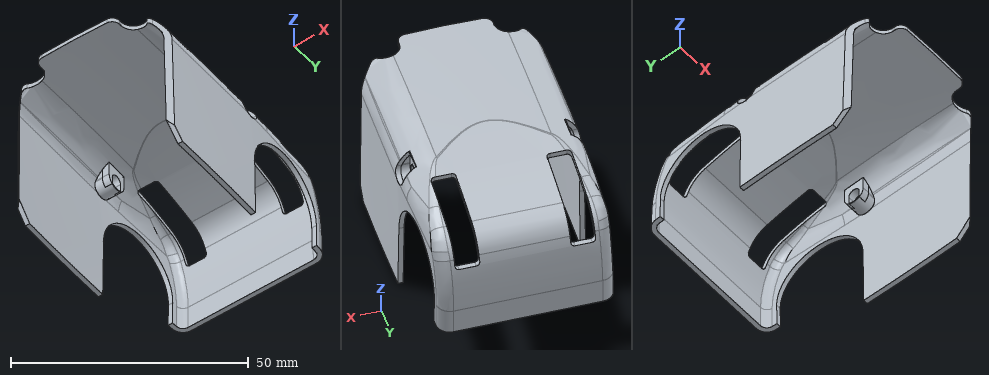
import cadquery as cq
import math

wall = 1.2
length = 63.3
far = 100.0

half_width = 20.75
side_bow_radius = 600.0
draft = 0.8
crown_y = 22.6

roof_z = 37.0
crown_radius = 407.0
roof_mid_radius = 170.0
roof_mid_half_width = 12.6
shoulder_radius = 8.4
shoulder_end_angle = 57.0
roof_side_fillet = 6.5

nose_bottom_z = 10.0
nose_straight_top_z = 16.0
nose_radius = 31.4
bend_radius = 8.4
hood_radius = 127.0
nose_slope = 1.0
bend_start_slope = 24.0
bend_end_slope = 75.1
hood_end_slope = 87.0
hood_fillet = 3.0

arch_y = 47.6
arch_z = 16.1
arch_radius = 11.5

tongue_half_width = 10.4
tongue_corner_radius = 1.9
notch_radius = 3.0
notch_y = 2.5
notch_tip_radius = 1.0
skirt_rear_y = 7.9
skirt_chamfer_y = 10.35
skirt_chamfer_angle = 46.0

slot_inner_x = 10.0
slot_outer_x = 15.4
slot_rear_y = 42.6
slot_floor_z = 26.0
slot_corner_radius = 0.8

pocket_y = 35.05
pocket_z = 31.0
pocket_radius = 2.4
pocket_top_z = 34.6
pocket_end_x = 16.95
boss_radius = 2.6
boss_end_x = 15.05
hole_radius = 1.4
hole_top_z = 32.45


def side_body(inset):
    """Solid between the two drafted, bowed skirt faces."""
    half = half_width - inset
    reach = 1.2 * length
    bow_radius = side_bow_radius - inset
    end_half = half - bow_radius + math.sqrt(bow_radius**2 - reach**2)
    return (
        cq.Workplane("XY")
        .moveTo(end_half, crown_y - reach)
        .threePointArc((half, crown_y), (end_half, crown_y + reach))
        .lineTo(-end_half, crown_y + reach)
        .threePointArc((-half, crown_y), (-end_half, crown_y - reach))
        .close()
        .extrude(2 * roof_z, taper=draft)
    )


def roof_body(inset):
    """Solid under the roof: the roof section turned about a far-off axis parallel to X."""
    mid_radius = roof_mid_radius - inset
    radius = shoulder_radius - inset
    mid_angle = math.asin(roof_mid_half_width / roof_mid_radius)
    end_angle = math.radians(shoulder_end_angle)
    mid_centre_z = roof_z - roof_mid_radius
    shoulder_x = (roof_mid_radius - shoulder_radius) * math.sin(mid_angle)
    shoulder_z = mid_centre_z + (roof_mid_radius - shoulder_radius) * math.cos(mid_angle)

    def shoulder_point(angle):
        return shoulder_x + radius * math.sin(angle), shoulder_z + radius * math.cos(angle)

    join = shoulder_point(mid_angle)
    middle = shoulder_point((mid_angle + end_angle) / 2)
    end = shoulder_point(end_angle)
    flank = 2 * shoulder_radius
    foot = (end[0] + flank * math.cos(end_angle), end[1] - flank * math.sin(end_angle))
    base_z = -roof_z
    half_turn = 20.0
    axis_z = roof_z - crown_radius

    def mirrored(point):
        return -point[0], point[1]

    section = (
        cq.Workplane("XZ", origin=(0, crown_y, 0))
        .moveTo(foot[0], base_z)
        .lineTo(*foot)
        .lineTo(*end)
        .threePointArc(middle, join)
        .threePointArc((0, mid_centre_z + mid_radius), mirrored(join))
        .threePointArc(mirrored(middle), mirrored(end))
        .lineTo(*mirrored(foot))
        .lineTo(-foot[0], base_z)
        .close()
    )
    turned = section.revolve(2 * half_turn, (0, axis_z, 0), (1, axis_z, 0))
    return turned.rotate((0, crown_y, axis_z), (1, crown_y, axis_z), -half_turn)


def hood_body(inset):
    """Solid behind and below the hood profile, running the full width."""
    slopes = [math.radians(s) for s in (nose_slope, bend_start_slope, bend_end_slope, hood_end_slope)]
    lean = math.tan(slopes[0])
    start_y = length - lean * (nose_straight_top_z - nose_bottom_z)
    start = (start_y - inset * math.cos(slopes[0]), nose_straight_top_z - inset * math.sin(slopes[0]))
    foot_z = -roof_z
    profile = (
        cq.Workplane("YZ", origin=(-far / 2, 0, 0))
        .moveTo(start[0] + lean * (start[1] - foot_z), foot_z)
        .lineTo(*start)
    )
    point = start
    for index, outer_radius in enumerate((nose_radius, bend_radius, hood_radius)):
        radius = outer_radius - inset
        first, last = slopes[index], slopes[index + 1]
        centre_y = point[0] - radius * math.cos(first)
        centre_z = point[1] - radius * math.sin(first)
        half = (first + last) / 2
        middle = (centre_y + radius * math.cos(half), centre_z + radius * math.sin(half))
        point = (centre_y + radius * math.cos(last), centre_z + radius * math.sin(last))
        profile = profile.threePointArc(middle, point)
    back_z = point[1] + (point[0] + far) / math.tan(slopes[-1])
    return profile.lineTo(-far, back_z).lineTo(-far, foot_z).close().extrude(far)


def bonnet_body(inset):
    """Filled bonnet with rounded edges, its faces moved inwards by inset."""
    body = side_body(inset).intersect(roof_body(inset))
    for side in (-1, 1):
        edge_point = (side * (half_width - inset), crown_y, pocket_z)
        edge = cq.selectors.NearestToPointSelector(edge_point)
        body = body.edges(edge).fillet(roof_side_fillet - inset)

    hood = hood_body(inset)
    body = body.intersect(hood)
    hood_skin = cq.Compound.makeCompound(hood.faces().vals())

    def bounds_hood(edge):
        middle = cq.Vertex.makeVertex(*edge.positionAt(0.5).toTuple())
        return edge.geomType() != "LINE" and hood_skin.distance(middle) < 0.01

    rim = body.edges().filter(bounds_hood)
    return body.newObject(rim.vals()).fillet(hood_fillet - inset)


def arched_prism(start_x, end_x, centre_y, centre_z, radius, end_z):
    """Prism along X: a half circle of the given radius with straight sides running on to end_z."""
    crown_z = centre_z + math.copysign(radius, centre_z - end_z)
    return (
        cq.Workplane("YZ", origin=(start_x, 0, 0))
        .moveTo(centre_y - radius, end_z)
        .lineTo(centre_y - radius, centre_z)
        .threePointArc((centre_y, crown_z), (centre_y + radius, centre_z))
        .lineTo(centre_y + radius, end_z)
        .close()
        .extrude(end_x - start_x)
    )


def wheel_arch_cut():
    """Arch opening through both skirts, and everything below the nose lip."""
    arch = arched_prism(-far, far, arch_y, arch_z, arch_radius, -far)
    front_y = arch_y - arch_radius
    below_nose = cq.Workplane("XY").box(far, far, far, centered=(True, False, False))
    return arch.union(below_nose.translate((0, front_y, nose_bottom_z - far)))


def skirt_chamfer_cut():
    """Sloping trim of the lower rear corner of both skirts."""
    rise = skirt_chamfer_y * math.tan(math.radians(skirt_chamfer_angle))
    corner = [(skirt_chamfer_y, 0), (0, rise), (0, 0)]
    return cq.Workplane("YZ", origin=(-far / 2, 0, 0)).polyline(corner).close().extrude(far)


def rear_edge_cut(side):
    """Material behind the rear edge on one side: the 45 degree skirt end and the round notch."""
    notch_x = tongue_half_width + notch_radius
    skirt_end = half_width - skirt_rear_y
    corner_y = tongue_corner_radius
    corner_shift = tongue_corner_radius * (1 - math.sqrt(0.5))

    gap = skirt_end + notch_y - notch_x
    entry = (gap + math.sqrt(2 * notch_radius**2 - gap**2)) / 2
    tip = (notch_x + entry, notch_y + entry - gap)

    outline = (
        cq.Workplane("XY")
        .moveTo(0, -far)
        .lineTo(side * far, -far)
        .lineTo(side * far, far - skirt_end)
        .lineTo(side * tip[0], tip[1])
        .threePointArc((side * notch_x, notch_y + notch_radius), (side * tongue_half_width, notch_y))
        .lineTo(side * tongue_half_width, corner_y)
        .threePointArc(
            (side * (tongue_half_width - corner_shift), corner_shift),
            (side * (tongue_half_width - tongue_corner_radius), 0),
        )
        .lineTo(0, 0)
        .close()
        .extrude(far)
    )
    tip_edge = cq.selectors.NearestToPointSelector((side * tip[0], tip[1], far / 2))
    return outline.edges(tip_edge).fillet(notch_tip_radius)


def hood_slot_cut(side):
    """Slot through the hood and the upper nose, with a level floor in the nose wall."""
    middle_x = side * (slot_inner_x + slot_outer_x) / 2
    block = cq.Workplane("XY").box(
        slot_outer_x - slot_inner_x, far, far, centered=(True, False, False)
    )
    block = block.edges("|Z and <Y").fillet(slot_corner_radius)
    block = block.edges("|Y and <Z").fillet(slot_corner_radius)
    return block.translate((middle_x, slot_rear_y, slot_floor_z))


def pocket_cut(side):
    """U-shaped recess open to the outside, and the hole through its end wall."""
    outside_x = side * 1.5 * half_width
    recess = arched_prism(
        side * pocket_end_x, outside_x, pocket_y, pocket_z, pocket_radius, pocket_top_z
    )
    hole_floor_z = pocket_z - pocket_radius
    hole = arched_prism(
        0, outside_x, pocket_y, hole_top_z - hole_radius, hole_radius, hole_floor_z
    )
    hole_limit = arched_prism(0, outside_x, pocket_y, pocket_z, pocket_radius, pocket_top_z)
    return recess.union(hole.intersect(hole_limit))


outer = bonnet_body(0)
result = outer.cut(bonnet_body(wall))
for side in (-1, 1):
    boss = arched_prism(
        side * boss_end_x, side * half_width, pocket_y, pocket_z, boss_radius, roof_z
    )
    result = result.union(boss.intersect(outer))
result = result.cut(wheel_arch_cut()).cut(skirt_chamfer_cut())
for side in (-1, 1):
    result = result.cut(rear_edge_cut(side)).cut(hood_slot_cut(side)).cut(pocket_cut(side))